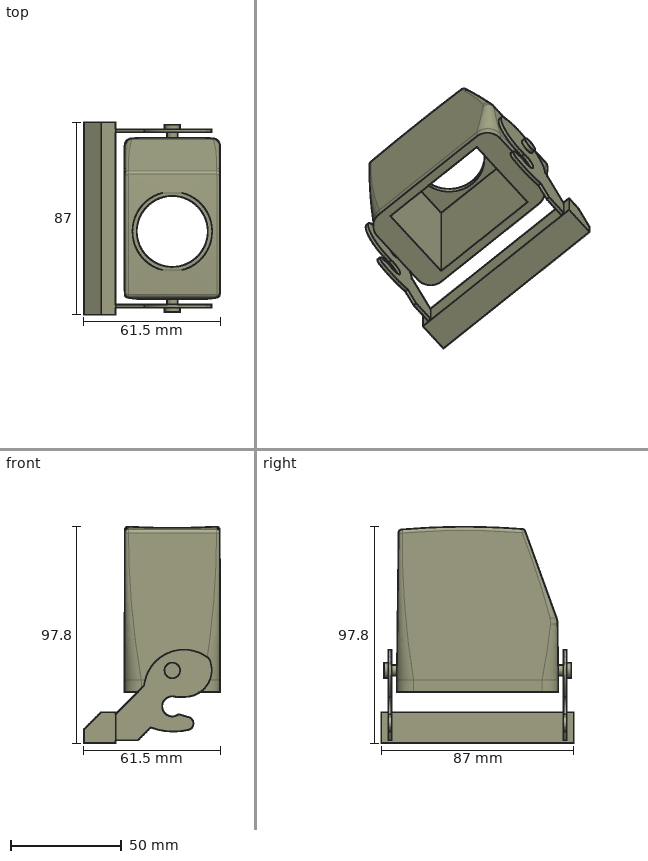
import cadquery as cq
import math


hood_width = 43.2
hood_length = 73.1
rim_height = 5.5
hood_height = 74.7
end_draft = 0.012
side_draft = 0.001
crest_y = -5.9
roof_radius = 337.4
roof_edge_radius = 1.6

rim_corner_radius = 7.5
top_corner_radius = 1.7
front_taper_top = 72.4
back_taper_top = 60.6

knee_z = 32.3
knee_radius = 8.0
slope_angle = math.radians(19.9)
draft_angle = math.atan(end_draft)
blank_height = hood_height + 0.6
loft_steps = 4

wall = 4.0
cavity_end_y = 25.7
entry_diameter = 32.0
seat_diameter = 36.0
seat_depth = 0.45

lever_length = 87.0
bar_left = -39.9
bar_right = -25.6
bar_bottom = hood_height - 97.8
bar_height = 14.1
bar_chamfer = 7.8
plate_inner_y = 38.8
plate_thickness = 1.6
plate_bottom = -21.8

peg_z = 9.8
peg_diameter = 5.0
peg_head_diameter = 7.0
peg_end_y = 42.3
plate_outer_y = plate_inner_y + plate_thickness


def front_y(z):
    return -hood_length / 2 + end_draft * max(0.0, z - rim_height)


knee_y = -front_y(knee_z)
knee_tangent = knee_radius * math.tan((slope_angle - draft_angle) / 2)
knee_start_z = knee_z - knee_tangent * math.cos(draft_angle)
knee_end_z = knee_z + knee_tangent * math.cos(slope_angle)
knee_center_z = knee_start_z - knee_radius * math.sin(draft_angle)
knee_center_y = -front_y(knee_start_z) - knee_radius * math.cos(draft_angle)


def slope_y(z):
    return knee_y - (z - knee_z) * math.tan(slope_angle)


def back_y(z):
    """Back of the hood at height z: drafted wall, rounded knee, then straight slope."""
    if z <= knee_start_z:
        return -front_y(z)
    if z < knee_end_z:
        return knee_center_y + math.sqrt(knee_radius**2 - (z - knee_center_z) ** 2)
    return slope_y(z)


def corner_radius(z, taper_top):
    """Corner radius, easing from the rim value to the top value."""
    fraction = (taper_top - z) / (taper_top - rim_height)
    remaining = min(1.0, max(0.0, fraction))
    return top_corner_radius + (rim_corner_radius - top_corner_radius) * remaining**2


def end_section(z, end_y, radius, direction):
    """Horizontal outline with two rounded corners at end_y and a square far end past the hood."""
    half = hood_width / 2 - side_draft * max(0.0, z - rim_height)
    far_y = -direction * hood_length
    round_y = end_y - direction * radius
    bulge = radius * (1 - math.sqrt(0.5))
    bulge_y = end_y - direction * bulge
    return (
        cq.Workplane("XY", origin=(0, 0, z))
        .moveTo(-half, far_y)
        .lineTo(-half, round_y)
        .threePointArc((-half + bulge, bulge_y), (-half + radius, end_y))
        .lineTo(half - radius, end_y)
        .threePointArc((half - bulge, bulge_y), (half, round_y))
        .lineTo(half, far_y)
        .close()
        .val()
    )


def front_section(z):
    return end_section(z, front_y(z), corner_radius(z, front_taper_top), -1)


def back_section(z):
    return end_section(z, back_y(z), corner_radius(z, back_taper_top), 1)


def stacked_lofts(section, levels):
    """Straight rim with smooth lofts above it, one between each two successive levels."""
    body = cq.Workplane(cq.Solid.makeLoft([section(0), section(rim_height)]))
    for bottom, top in zip(levels, levels[1:]):
        heights = [bottom + (top - bottom) * i / loft_steps for i in range(loft_steps + 1)]
        body = body.union(cq.Workplane(cq.Solid.makeLoft([section(z) for z in heights])))
    return body


def hood_blank():
    front_half = stacked_lofts(front_section, [rim_height, blank_height])
    back_half = stacked_lofts(
        back_section, [rim_height, knee_start_z, knee_end_z, blank_height]
    )
    roof_trim = (
        cq.Workplane("YZ", origin=(-hood_width, 0, 0))
        .center(crest_y, hood_height - roof_radius)
        .circle(roof_radius)
        .extrude(2 * hood_width)
    )
    blank = front_half.intersect(back_half).intersect(roof_trim)
    return blank.faces(">Z").edges().fillet(roof_edge_radius)


def cavity():
    """Open-bottomed hollow whose back follows the sloping outside at one wall thickness."""
    roof_z = hood_height - wall
    wall_run = wall / math.cos(slope_angle)
    slope_start_z = knee_z + (knee_y - wall_run - cavity_end_y) / math.tan(slope_angle)
    inner_width = hood_width - 2 * wall
    return (
        cq.Workplane("YZ", origin=(-inner_width / 2, 0, 0))
        .moveTo(-cavity_end_y, 0)
        .lineTo(cavity_end_y, 0)
        .lineTo(cavity_end_y, slope_start_z)
        .lineTo(slope_y(roof_z) - wall_run, roof_z)
        .lineTo(-cavity_end_y, roof_z)
        .close()
        .extrude(inner_width)
    )


def cable_entry():
    seat_plane = cq.Workplane("XY", origin=(0, crest_y, hood_height - seat_depth))
    seat = seat_plane.circle(seat_diameter / 2).extrude(wall)
    bore = seat_plane.circle(entry_diameter / 2).extrude(-2 * wall)
    return seat.union(bore)


def peg(side):
    """Headed pivot peg on one end wall; side is -1 or +1 along Y."""
    shank = (
        cq.Workplane("XZ", origin=(0, side * cavity_end_y, peg_z))
        .circle(peg_diameter / 2)
        .extrude(-side * (plate_outer_y - cavity_end_y))
    )
    head = (
        cq.Workplane("XZ", origin=(0, side * plate_outer_y, peg_z))
        .circle(peg_head_diameter / 2)
        .extrude(-side * (peg_end_y - plate_outer_y))
    )
    return shank.union(head)


def make_hood():
    hood = hood_blank().cut(cavity()).cut(cable_entry())
    for side in (-1, 1):
        hood = hood.union(peg(side))
    return hood


back_center = (5.3, 1.1)
back_radius = 18.1
back_middle_angle = 110.0
belly_center = (5.6, 10.0)
belly_radius = 12.2
nose_center = (12.8, 11.9)
nose_radius = 4.9
slot_center = (0.0, -6.5)
slot_radius = 4.5
slot_upper_angle = 66.0
slot_lower_angle = -50.0
arm_offset = 15.7
heel_x = -15.55
heel_rise = 5.8
finger_bottom = (0.4, -17.9)
finger_tip_start = (7.3, -17.1)
finger_tip = (9.6, -13.9)
finger_tip_end = (6.8, -11.15)


def on_circle(center, radius, degrees):
    angle = math.radians(degrees)
    return (center[0] + radius * math.cos(angle), center[1] + radius * math.sin(angle))


def bearing(start, end):
    return math.degrees(math.atan2(end[1] - start[1], end[0] - start[0]))


def arm_meets_back_arc():
    """Left crossing of the arm's 45 degree upper edge with the large arc."""
    rise = back_center[1] - arm_offset
    middle = (back_center[0] + rise) / 2
    gap = (back_center[0] - rise) / 2
    x = middle - math.sqrt(back_radius**2 / 2 - gap**2)
    return (x, x + arm_offset)


def lever_plate(side):
    arm_top = arm_meets_back_arc()
    back_to_nose = bearing(back_center, nose_center)
    belly_to_nose = bearing(belly_center, nose_center)
    nose_middle = (back_to_nose + belly_to_nose) / 2
    belly_middle = (belly_to_nose - 90) / 2
    outline = (
        cq.Workplane("XZ", origin=(0, side * plate_inner_y, 0))
        .moveTo(bar_right, plate_bottom)
        .lineTo(heel_x, plate_bottom)
        .lineTo(heel_x + heel_rise, plate_bottom + heel_rise)
        .threePointArc(finger_bottom, finger_tip_start)
        .threePointArc(finger_tip, finger_tip_end)
        .lineTo(*on_circle(slot_center, slot_radius, slot_lower_angle))
        .threePointArc(
            on_circle(slot_center, slot_radius, 180),
            on_circle(slot_center, slot_radius, slot_upper_angle),
        )
        .lineTo(*on_circle(belly_center, belly_radius, -90))
        .threePointArc(
            on_circle(belly_center, belly_radius, belly_middle),
            on_circle(belly_center, belly_radius, belly_to_nose),
        )
        .threePointArc(
            on_circle(nose_center, nose_radius, nose_middle),
            on_circle(back_center, back_radius, back_to_nose),
        )
        .threePointArc(on_circle(back_center, back_radius, back_middle_angle), arm_top)
        .lineTo(bar_right, bar_right + arm_offset)
        .close()
    )
    plate = outline.extrude(-side * plate_thickness)
    peg_hole = (
        cq.Workplane("XZ", origin=(0, side * plate_inner_y, peg_z))
        .circle(peg_diameter / 2)
        .extrude(-side * plate_thickness)
    )
    return plate.cut(peg_hole)


def lever_bar():
    bar_top = bar_bottom + bar_height
    return (
        cq.Workplane("XZ", origin=(0, lever_length / 2, 0))
        .moveTo(bar_left, bar_bottom)
        .lineTo(bar_right, bar_bottom)
        .lineTo(bar_right, bar_top)
        .lineTo(bar_left + bar_chamfer, bar_top)
        .lineTo(bar_left, bar_top - bar_chamfer)
        .close()
        .extrude(lever_length)
    )


def make_lever():
    lever = lever_bar()
    for side in (-1, 1):
        lever = lever.union(lever_plate(side))
    return lever


hood = make_hood()
lever = make_lever()
result = cq.Compound.makeCompound([hood.solids().val(), lever.solids().val()])